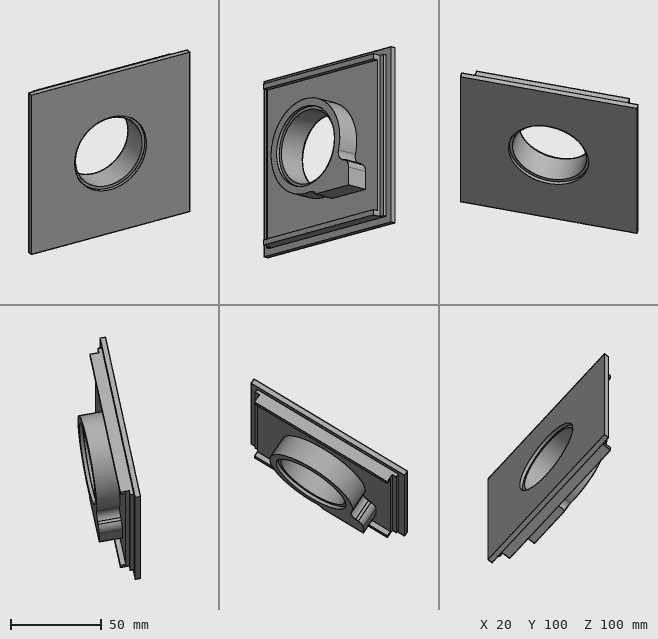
import cadquery as cq
import math

total_depth = 20.0
plate_side = 100.0
plate_thickness = 3.0
step_side = 92.0
step_thickness = 2.0
pad_width = 86.6
pad_thickness = 2.0
rail_height = 3.0
rail_thickness = 3.0

plate_front = total_depth - plate_thickness
step_front = plate_front - step_thickness
pad_front = step_front - pad_thickness

boss_radius = 27.0
bore_radius = 21.0
counterbore_radius = 22.7
counterbore_depth = 2.0
lug_side_y = -34.0
lug_bottom_z = -29.0
lug_top_z = -13.8
blend_radius = 5.0
lower_blend_y = -3.6


def slab(front, thickness, width, height, center_z=0.0):
    """Block centred on Y that extends from X = front towards +X."""
    return cq.Workplane("YZ", origin=(front, 0, center_z)).rect(width, height).extrude(thickness)


def point_on_circle(center, radius, angle):
    return (center[0] + radius * math.cos(angle), center[1] + radius * math.sin(angle))


def make_boss():
    """Round boss and lug, joined by concave arcs tangent to the boss."""
    center_distance = boss_radius + blend_radius
    upper_z = lug_top_z + blend_radius
    upper_center = (-math.sqrt(center_distance**2 - upper_z**2), upper_z)
    lower_center = (lower_blend_y, -math.sqrt(center_distance**2 - lower_blend_y**2))
    corner_center = (lug_side_y + blend_radius, lug_top_z - blend_radius)

    upper_angle = math.atan2(-upper_center[1], -upper_center[0])
    lower_angle = math.atan2(-lower_center[1], -lower_center[0])
    lower_end_angle = math.pi - math.asin((lug_bottom_z - lower_center[1]) / blend_radius)

    boss_share = boss_radius / center_distance
    upper_start = (upper_center[0] * boss_share, upper_center[1] * boss_share)
    lower_end = (lower_center[0] * boss_share, lower_center[1] * boss_share)
    upper_middle = point_on_circle(upper_center, blend_radius, (upper_angle - math.pi / 2) / 2)
    corner_middle = point_on_circle(corner_center, blend_radius, math.radians(135))
    lower_start = point_on_circle(lower_center, blend_radius, lower_end_angle)
    lower_middle = point_on_circle(lower_center, blend_radius, (lower_angle + lower_end_angle) / 2)
    far_side = point_on_circle((0, 0), boss_radius, math.radians(45))

    return (
        cq.Workplane("YZ")
        .moveTo(*upper_start)
        .threePointArc(upper_middle, (upper_center[0], lug_top_z))
        .lineTo(corner_center[0], lug_top_z)
        .threePointArc(corner_middle, (lug_side_y, corner_center[1]))
        .lineTo(lug_side_y, lug_bottom_z)
        .lineTo(*lower_start)
        .threePointArc(lower_middle, lower_end)
        .threePointArc(far_side, upper_start)
        .close()
        .extrude(pad_front)
    )


def make_bore():
    """Through bore with an equal shallow counterbore at each end."""
    bore = cq.Workplane("YZ").circle(bore_radius).extrude(total_depth)
    for start in (0, total_depth - counterbore_depth):
        counterbore = cq.Workplane("YZ", origin=(start, 0, 0)).circle(counterbore_radius)
        bore = bore.union(counterbore.extrude(counterbore_depth))
    return bore


body = slab(plate_front, plate_thickness, plate_side, plate_side)
body = body.union(slab(step_front, step_thickness, step_side, step_side))
body = body.union(slab(pad_front, pad_thickness, pad_width, step_side))

rail_z = (step_side - rail_thickness) / 2
for side in (-1, 1):
    rail = slab(pad_front - rail_height, rail_height, pad_width, rail_thickness, side * rail_z)
    body = body.union(rail)

result = body.union(make_boss()).cut(make_bore())